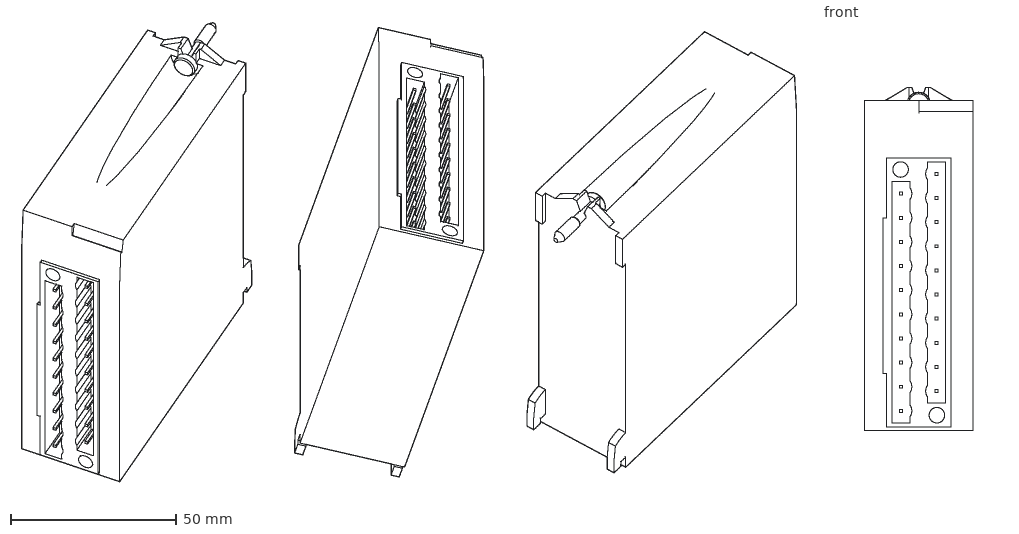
import cadquery as cq
import math

WIDTH = 33.0
HEIGHT = 100.0
REAR_Y = 86.2
HALF_WIDTH = WIDTH / 2
CREASE_Z = 84.1
LEAN = 1.0

NOTCH_TOP_Y = 2.5
NOTCH_ROOT_Y = 1.55
NOTCH_ROOT_Z = HEIGHT - 4.4
NOTCH_LIP_Z = HEIGHT - 3.4

TAB_THICKNESS = 2.6
TAB_REAR_Y = 87.8
TAB_BOTTOM_Z = 87.9
HOOK_TOP_Z = 15.0
HOOK_CROWN_Y = 88.6
HOOK_CROWN_Z = 14.6
HOOK_SHOULDER_Y = 91.4
HOOK_SHOULDER_Z = 13.4
HOOK_REAR_Y = 92.1
HOOK_HEEL_Z = 7.5
HOOK_BOTTOM_Z = 2.4
HOOK_MOUTH_Y = 88.6
HOOK_MOUTH_Z = 4.4

GROOVE_RADIUS = 5.35
GROOVE_REAR_Y = 81.1
GROOVE_TIP_Y = 18.8

SCREW_Z = 99.0
HEAD_FRONT_Y = 78.7
HEAD_RADIUS = 3.5
HEAD_CHAMFER = 0.45
NECK_RADIUS = 1.45
SHANK_RADIUS = 1.85
SHANK_START_Y = 89.4
SHANK_CHAMFER = 0.4
SHANK_END_Y = 97.5
TIP_RADIUS = 0.75
FRAME_HEIGHT = 1.0
OVERALL_DEPTH = 100.5
TIP_Y = OVERALL_DEPTH - FRAME_HEIGHT

BRACKET_TOP_Z = 104.0
CHEEK_OUTER_X = 3.0
CHEEK_INNER_X = 2.1
CHEEK_FOOT_X = 0.6
WING_FRONT_Y = 83.5
WING_PEAK_X = 3.5
WING_FOOT_X = 10.15

BLOCK_CENTRE_Z = 41.9
FRAME_HALF_WIDTH = 9.75
FRAME_LENGTH = 81.4
LEDGE_WIDTH = 1.1
LEDGE_BOTTOM_Z = 17.4
LEDGE_TOP_Z = 64.4
PIN_COUNT = 10
PIN_PITCH = 7.31
PIN_SIZE = 0.9
PIN_TIP_DEPTH = 0.8
ROW_X = 5.35
ROW_SHIFT_Z = 3.0
POCKET_WIDTH = 5.55
POCKET_LENGTH = PIN_COUNT * PIN_PITCH
POCKET_DEPTH = 10.0
SCALLOP_RADIUS = 3.25
SCREW_HOLE_X = 5.5
SCREW_HOLE_SHIFT_Z = 37.2
SCREW_HOLE_RADIUS = 2.35


def box(x0, x1, y0, y1, z0, z1):
    """Box between two opposite corners."""
    return cq.Workplane("XY").box(x1 - x0, y1 - y0, z1 - z0, centered=False).translate((x0, y0, z0))


def side_plate(outline, x0, x1):
    """Outline of (y, z) points extruded from x0 to x1."""
    return cq.Workplane("YZ").workplane(offset=x0).polyline(outline).close().extrude(x1 - x0)


def front_plate(outline, y0, y1):
    """Outline of (x, z) points extruded from y0 to y1."""
    return cq.Workplane("XZ", origin=(0, y0, 0)).polyline(outline).close().extrude(y0 - y1)


def rod(x, z, radius, y0, y1):
    """Round bar along Y."""
    return cq.Workplane("XZ", origin=(x, y0, z)).circle(radius).extrude(y0 - y1)


def housing():
    outline = [
        (0, 0),
        (REAR_Y, 0),
        (REAR_Y, HEIGHT),
        (LEAN, HEIGHT),
        (0, CREASE_Z),
    ]
    return side_plate(outline, -HALF_WIDTH, HALF_WIDTH)


def finger_notch():
    clear_y = -LEAN
    outline = [
        (NOTCH_TOP_Y, HEIGHT),
        (NOTCH_ROOT_Y, NOTCH_ROOT_Z),
        (LEAN * (NOTCH_LIP_Z - CREASE_Z) / (HEIGHT - CREASE_Z), NOTCH_LIP_Z),
        (clear_y, NOTCH_LIP_Z),
        (clear_y, HEIGHT),
    ]
    return side_plate(outline, 0, HALF_WIDTH)


def rear_tabs(x0):
    """Upper tab and lower hook of one side, starting at x0."""
    x1 = x0 + TAB_THICKNESS
    root_y = REAR_Y - TAB_THICKNESS
    hook = (
        cq.Workplane("YZ")
        .workplane(offset=x0)
        .moveTo(root_y, HOOK_TOP_Z)
        .lineTo(REAR_Y, HOOK_TOP_Z)
        .threePointArc((HOOK_CROWN_Y, HOOK_CROWN_Z), (HOOK_SHOULDER_Y, HOOK_SHOULDER_Z))
        .lineTo(HOOK_REAR_Y, HOOK_HEEL_Z)
        .lineTo(HOOK_REAR_Y, HOOK_BOTTOM_Z)
        .lineTo(HOOK_MOUTH_Y, HOOK_BOTTOM_Z)
        .lineTo(HOOK_MOUTH_Y, HOOK_MOUTH_Z)
        .lineTo(root_y, HOOK_MOUTH_Z)
        .close()
        .extrude(TAB_THICKNESS)
    )
    tab = box(x0, x1, root_y, TAB_REAR_Y, TAB_BOTTOM_Z, HEIGHT)
    return hook.union(tab)


def screwdriver_groove():
    """Half-round trough tilted so that its lowest line runs out of the top face at the groove tip."""
    length = GROOVE_REAR_Y - GROOVE_TIP_Y
    tilt = math.asin(GROOVE_RADIUS / length)
    run_direction = (0, -math.cos(tilt), math.sin(tilt))
    rear_section = cq.Plane(origin=(0, GROOVE_REAR_Y, HEIGHT), xDir=(1, 0, 0), normal=run_direction)
    half_round = (
        cq.Workplane(rear_section)
        .moveTo(-GROOVE_RADIUS, 0)
        .threePointArc((0, -GROOVE_RADIUS), (GROOVE_RADIUS, 0))
        .close()
    )
    trough = half_round.extrude(length, both=True)
    room = box(-HALF_WIDTH, HALF_WIDTH, 0, GROOVE_REAR_Y, 0, HEIGHT + GROOVE_RADIUS)
    return trough.intersect(room)


def fixing_screw():
    half_section = [
        (0, HEAD_FRONT_Y),
        (HEAD_RADIUS - HEAD_CHAMFER, HEAD_FRONT_Y),
        (HEAD_RADIUS, HEAD_FRONT_Y + HEAD_CHAMFER),
        (HEAD_RADIUS, GROOVE_REAR_Y),
        (NECK_RADIUS, GROOVE_REAR_Y),
        (NECK_RADIUS, SHANK_START_Y),
        (SHANK_RADIUS, SHANK_START_Y + SHANK_CHAMFER),
        (SHANK_RADIUS, SHANK_END_Y),
        (TIP_RADIUS, TIP_Y),
        (0, TIP_Y),
    ]
    profile = cq.Workplane("XY").polyline(half_section).close()
    return profile.revolve(360, (0, 0, 0), (0, 1, 0)).translate((0, 0, SCREW_Z))


def bracket_half():
    """Cheek and wing on the +X side of the screw."""
    cheek_outline = [
        (CHEEK_FOOT_X, HEIGHT),
        (CHEEK_INNER_X, BRACKET_TOP_Z),
        (CHEEK_OUTER_X, BRACKET_TOP_Z),
        (CHEEK_OUTER_X, HEIGHT),
    ]
    wing_outline = [
        (CHEEK_INNER_X, HEIGHT),
        (CHEEK_INNER_X, BRACKET_TOP_Z),
        (WING_PEAK_X, BRACKET_TOP_Z),
        (WING_FOOT_X, HEIGHT),
    ]
    cheek = front_plate(cheek_outline, GROOVE_REAR_Y, REAR_Y)
    wing = front_plate(wing_outline, WING_FRONT_Y, REAR_Y)
    return cheek.union(wing)


def terminal_frame():
    half_length = FRAME_LENGTH / 2
    left = -FRAME_HALF_WIDTH
    bottom = BLOCK_CENTRE_Z - half_length
    top = BLOCK_CENTRE_Z + half_length
    frame = box(left, FRAME_HALF_WIDTH, -FRAME_HEIGHT, 0, bottom, top)
    ledge = box(left - LEDGE_WIDTH, left, -FRAME_HEIGHT, 0, LEDGE_BOTTOM_Z, LEDGE_TOP_Z)
    return frame.union(ledge)


def pocket_space(side):
    """Pocket of one row (side -1 left, +1 right), scalloped at each pin on its inner wall."""
    floor_y = POCKET_DEPTH - FRAME_HEIGHT
    centre_x = side * ROW_X
    centre_z = BLOCK_CENTRE_Z + side * ROW_SHIFT_Z
    half_width = POCKET_WIDTH / 2
    bottom = centre_z - POCKET_LENGTH / 2
    top = bottom + POCKET_LENGTH
    space = box(centre_x - half_width, centre_x + half_width, -FRAME_HEIGHT, floor_y, bottom, top)
    inner_half = box(min(0, centre_x), max(0, centre_x), -FRAME_HEIGHT, floor_y, bottom, top)
    for z in pin_heights(side):
        scallop = rod(centre_x, z, SCALLOP_RADIUS, -FRAME_HEIGHT, floor_y)
        space = space.union(scallop.intersect(inner_half))
    return space


def pin_heights(side):
    """Z of each pin in one row."""
    lowest = BLOCK_CENTRE_Z + side * ROW_SHIFT_Z - (PIN_COUNT - 1) * PIN_PITCH / 2
    return [lowest + i * PIN_PITCH for i in range(PIN_COUNT)]


def pin(side, z):
    """Square pin standing on the pocket floor."""
    x = side * ROW_X
    half = PIN_SIZE / 2
    tip_y = PIN_TIP_DEPTH - FRAME_HEIGHT
    return box(x - half, x + half, tip_y, POCKET_DEPTH, z - half, z + half)


def screw_hole(side):
    """Round hole beyond the end of one row (left one above, right one below)."""
    z = BLOCK_CENTRE_Z - side * SCREW_HOLE_SHIFT_Z
    return rod(side * SCREW_HOLE_X, z, SCREW_HOLE_RADIUS, -FRAME_HEIGHT, POCKET_DEPTH - FRAME_HEIGHT)


body = housing().cut(finger_notch()).cut(screwdriver_groove())

for tab_x in (-HALF_WIDTH, HALF_WIDTH - TAB_THICKNESS):
    body = body.union(rear_tabs(tab_x))

bracket = bracket_half()
body = body.union(bracket).union(bracket.mirror("YZ")).union(fixing_screw())

body = body.union(terminal_frame())
for row_side in (-1, 1):
    body = body.cut(pocket_space(row_side)).cut(screw_hole(row_side))
    for pin_z in pin_heights(row_side):
        body = body.union(pin(row_side, pin_z))

result = body